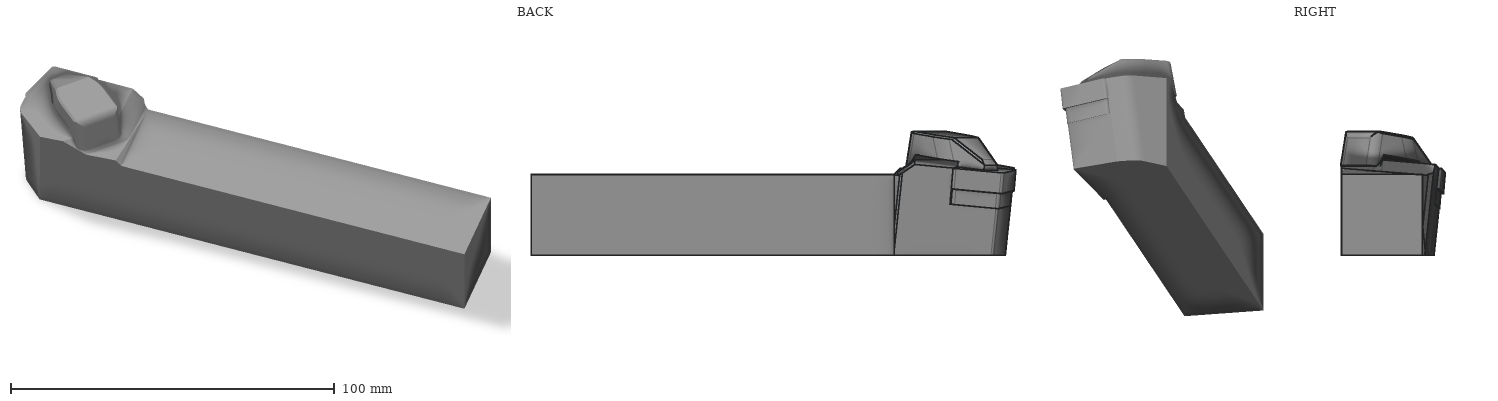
import cadquery as cq
import math

TOTAL_LENGTH = 149.8
SHANK_SIZE = 25.0

SEAT_TILT = 7.0
SEAT_HEIGHT = 27.9

INSERT_SIDE = 15.9
INSERT_THICKNESS = 6.5
INSERT_ACUTE_ANGLE = 80.0
INSERT_TURN = 40.0
INSERT_CORNER = (3.9, 32.2)
NOSE_RADIUS = 0.9
SHIM_NOSE_RADIUS = 1.2
SHIM_THICKNESS = 4.8
SUPPORT_SETBACK = 0.7

HEAD_LEFT = 0.5
FLAT_START = 16.6
FLAT_END = 10.0
CHAMFER_END = 11.0
CORNER_RADIUS = 5.1
FLAT_RADIUS = 2.2
OUTER_RADIUS = 0.7
WALL_RELIEF = 1.5
HEAD_BACK_CORNER = (34.7, 28.8)
HEAD_BACK_NECK = (35.5, 27.3)
RAMP_END = 37.6

POCKET_DEPTH = 4.0
POCKET_RUN = 5.0
POCKET_CORNER = (31.2, 12.7)
REAR_WALL_TURN = 45.0

CLAMP_CENTRE = 23.8
CLAMP_HALF_WIDTH = 7.5
CLAMP_HEIGHT = 8.7
NOSE_START = -12.9
NOSE_HEIGHT = 1.5
NOSE_CHAMFER = 1.6
FOOT_END = -4.3
RIDGE_START = -1.0
UNDERSIDE_GAP = 1.6
TAIL_RAMP_START = 12.7
TAIL_RAMP_END = 15.5
TAIL_DEPTH = 2.2
TAIL_TOP = 17.0
TAIL_BOTTOM = 18.0
TAPER_START = -0.6
TAPER_ANGLE = 20.0
TAPER_DRAFT = 8.5
TAPER_RADIUS = 15.0
TAIL_RADIUS = 2.5
TOP_CHAMFER = 0.6

REACH = 45.0

tilt = math.radians(SEAT_TILT)
DIAGONAL = math.sqrt(0.5)
SEAT = cq.Location(
    cq.Plane(
        origin=(0, 0, SEAT_HEIGHT),
        xDir=(DIAGONAL * math.cos(tilt), -DIAGONAL * math.cos(tilt), math.sin(tilt)),
        normal=(-DIAGONAL * math.sin(tilt), DIAGONAL * math.sin(tilt), math.cos(tilt)),
    )
)


def on_seat(x, y):
    """Seat-frame position of the seat point that lies straight above (x, y)."""
    return ((x - y) * DIAGONAL / math.cos(tilt), (x + y) * DIAGONAL)


def polar(start, length, degrees):
    """Point at a distance and direction from a start point."""
    angle = math.radians(degrees)
    return (start[0] + length * math.cos(angle), start[1] + length * math.sin(angle))


def prism(points, top, depth):
    """Prism in the seat frame, from height `top` down by `depth`."""
    return cq.Workplane("XY").workplane(offset=top).polyline(points).close().extrude(-depth)


def rhombus(setback):
    """Insert outline with its two outer edges moved inwards by `setback`."""
    left_edge = INSERT_TURN - (180 - INSERT_ACUTE_ANGLE)
    shift = setback / math.sin(math.radians(INSERT_ACUTE_ANGLE))
    side = INSERT_SIDE - shift
    outer = polar(polar(on_seat(*INSERT_CORNER), shift, INSERT_TURN), shift, left_edge)
    left = polar(outer, side, left_edge)
    right = polar(outer, side, INSERT_TURN)
    inner = polar(left, side, INSERT_TURN)
    return [outer, left, inner, right]


def make_insert():
    return prism(rhombus(0), 0, INSERT_THICKNESS).edges("|Z").fillet(NOSE_RADIUS)


def make_pocket_plateau():
    """Seat-level block ending in two sloping walls with a conical corner between them."""
    corner = on_seat(*POCKET_CORNER)
    wall_slope = [(0, 0), (POCKET_RUN, -POCKET_DEPTH), (0, -POCKET_DEPTH)]
    front_end = polar(corner, REACH, -90)
    rear_end = polar(corner, REACH, 90 + REAR_WALL_TURN)
    far_side = polar(corner, 2 * REACH, 180)
    plateau = prism([corner, rear_end, far_side, front_end], 0, POCKET_DEPTH)
    front_wall = cq.Workplane("XZ").polyline(wall_slope).close().extrude(REACH)
    rear_wall = cq.Workplane("XZ").polyline(wall_slope).close().extrude(-REACH)
    rear_wall = rear_wall.rotate((0, 0, 0), (0, 0, 1), REAR_WALL_TURN)
    cone = cq.Workplane("XZ").polyline(wall_slope).close().revolve(360, (0, 0, 0), (0, 1, 0))
    for part in (front_wall, rear_wall, cone):
        plateau = plateau.union(part.translate((*corner, 0)))
    return plateau


def make_head():
    """Head in the seat frame, with leaning walls and running on below the base."""
    outline = [
        rhombus(SUPPORT_SETBACK)[0],
        on_seat(HEAD_LEFT, FLAT_START),
        on_seat(HEAD_LEFT, FLAT_END),
        on_seat(CHAMFER_END, 0),
        on_seat(CHAMFER_END + REACH, -REACH),
        on_seat(HEAD_BACK_NECK[0] + REACH, HEAD_BACK_NECK[1] - REACH),
        on_seat(*HEAD_BACK_NECK),
        on_seat(*HEAD_BACK_CORNER),
    ]
    walls = prism(outline, REACH, 2 * REACH)
    for point, radius in zip(outline, (OUTER_RADIUS, FLAT_RADIUS, CORNER_RADIUS)):
        upright = cq.selectors.NearestToPointSelector((*point, 0))
        walls = walls.edges(upright).fillet(radius)
    walls = walls.rotate((0, 0, 0), (0, 1, 0), -WALL_RELIEF)
    below_floor = cq.Workplane("XY").box(4 * REACH, 4 * REACH, REACH)
    below_floor = below_floor.translate((0, 0, -POCKET_DEPTH - REACH / 2))
    return walls.intersect(make_pocket_plateau().union(below_floor))


def add_shim(head):
    """Layer below the insert with its own rounded corners."""
    outline = rhombus(SUPPORT_SETBACK)
    shim = prism(outline, -INSERT_THICKNESS, SHIM_THICKNESS)
    return head.cut(shim).union(shim.edges("|Z").fillet(SHIM_NOSE_RADIUS))


def trim_head(head):
    """Cut the head off at the base, the front face and the ramp to the shank."""
    side_view = [
        (-REACH, 0),
        (RAMP_END, 0),
        (RAMP_END, SHANK_SIZE),
        (RAMP_END - REACH, SHANK_SIZE + REACH),
        (-REACH, SHANK_SIZE + REACH),
    ]
    return head.intersect(cq.Workplane("XZ").polyline(side_view).close().extrude(-REACH))


def make_shank():
    length = TOTAL_LENGTH - RAMP_END
    bar = cq.Workplane("XY").box(length, SHANK_SIZE, SHANK_SIZE, centered=False)
    return bar.translate((RAMP_END, 0, 0))


def make_flanks():
    """Straight-sided block whose front tapers between two drafted flanks."""
    length = 2 * REACH
    block = cq.Workplane("XY").box(length, 2 * CLAMP_HALF_WIDTH, length)
    waste = cq.Workplane("XY").box(length, length, length).translate((0, length / 2, 0))
    waste = waste.rotate((0, 0, 0), (1, 0, 0), TAPER_DRAFT).rotate((0, 0, 0), (0, 0, 1), TAPER_ANGLE)
    waste = waste.translate((TAPER_START, CLAMP_HALF_WIDTH, 0))
    block = block.cut(waste).cut(waste.mirror("XZ"))
    for side in (-1, 1):
        kink = cq.selectors.NearestToPointSelector((TAPER_START, side * CLAMP_HALF_WIDTH, 0))
        block = block.edges(kink).fillet(TAPER_RADIUS)
    return block


def make_clamp():
    """Clamp whose foot rests on the insert and whose tail reaches into the pocket."""
    profile = [
        (NOSE_START, 0),
        (NOSE_START, NOSE_HEIGHT),
        (NOSE_START + NOSE_CHAMFER, NOSE_HEIGHT + NOSE_CHAMFER),
        (RIDGE_START, CLAMP_HEIGHT),
        (TAIL_TOP, CLAMP_HEIGHT),
        (TAIL_BOTTOM, -TAIL_DEPTH),
        (TAIL_RAMP_END, -TAIL_DEPTH),
        (TAIL_RAMP_START, UNDERSIDE_GAP),
        (FOOT_END, UNDERSIDE_GAP),
        (FOOT_END, 0),
    ]
    body = cq.Workplane("XZ").polyline(profile).close().extrude(REACH / 2, both=True)
    slope_middle = ((NOSE_START + RIDGE_START) / 2, 0, (NOSE_HEIGHT + CLAMP_HEIGHT) / 2)
    slope = cq.selectors.NearestToPointSelector(slope_middle)
    clamp = body.intersect(make_flanks())
    roof = clamp.faces(">Z").add(clamp.faces(slope))
    clamp = roof.edges("not |Y").chamfer(TOP_CHAMFER)
    tail_corners = cq.selectors.BoxSelector(
        (TAIL_TOP, -REACH, -TAIL_DEPTH / 2), (REACH, REACH, CLAMP_HEIGHT / 2)
    )
    clamp = clamp.edges(tail_corners).edges("not |Y").fillet(TAIL_RADIUS)
    rear_top = cq.selectors.NearestToPointSelector((TAIL_TOP, 0, CLAMP_HEIGHT))
    clamp = clamp.intersect(body.edges(rear_top).fillet(TAIL_RADIUS))
    return clamp.translate((0, CLAMP_CENTRE, 0))


def make_holder():
    head = add_shim(make_head()).cut(make_insert())
    head = cq.Workplane(head.val().moved(SEAT))
    clamp = cq.Workplane(make_clamp().val().moved(SEAT))
    return trim_head(head).union(make_shank()).union(clamp)


insert = cq.Workplane(make_insert().val().moved(SEAT))
holder = make_holder()
result = cq.Compound.makeCompound([insert.val(), *holder.vals()])